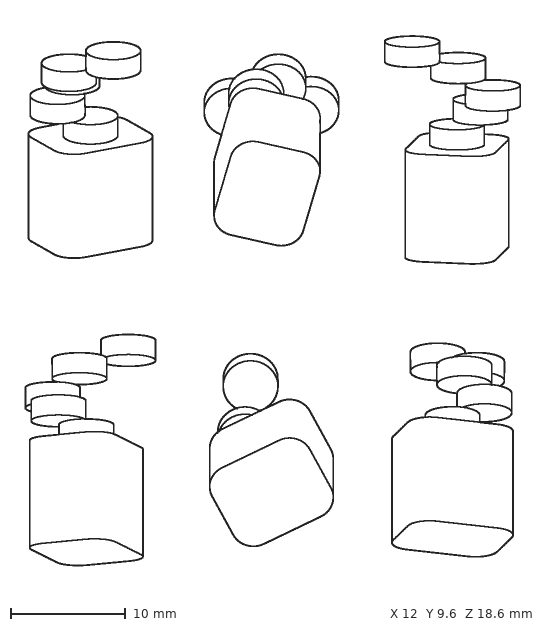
import cadquery as cq

block_width = 8.0
block_depth = 9.6
block_height = 9.6
corner_radius = 2.0

disc_diameter = 4.8
disc_height = 1.8
left_step = 1.6
right_step = 3.6
front_offset = disc_diameter / 2

leftmost_x = -2 * left_step
disc_x_positions = [
    0.0,
    -left_step,
    leftmost_x,
    leftmost_x + right_step,
    leftmost_x + 2 * right_step,
]


def make_block():
    """Block with rounded vertical edges, standing on the XY plane."""
    block = cq.Workplane("XY").box(block_width, block_depth, block_height, centered=(True, True, False))
    return block.edges("|Z").fillet(corner_radius)


def make_disc(level, x):
    """Disc at the given level of the stack; odd levels sit forward."""
    y = -front_offset if level % 2 else 0.0
    z = block_height + level * disc_height
    return cq.Workplane("XY").circle(disc_diameter / 2).extrude(disc_height).translate((x, y, z))


result = make_block()
for level, x in enumerate(disc_x_positions):
    result = result.union(make_disc(level, x))